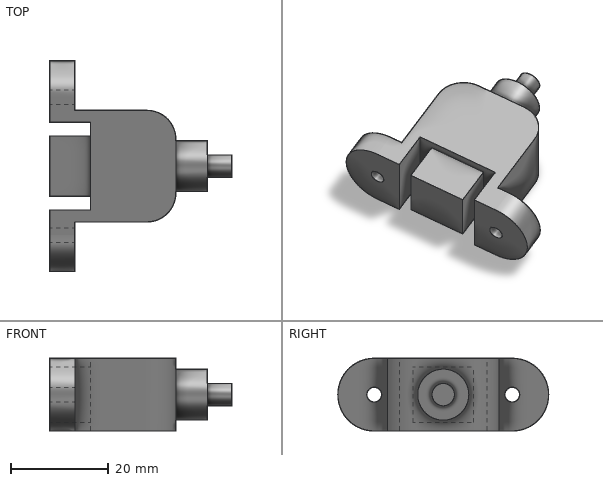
import cadquery as cq

total_length = 37.5
flange_span = 43.4
height = 15.0

flange_thickness = 5.2
screw_hole_diameter = 3.0
screw_spacing = flange_span - height

housing_width = 23.0
housing_end = 26.0
corner_radius = 6.0

slot_width = 17.95
slot_depth = 8.38
plug_width = 12.4
plug_height = 11.45

relief_diameter = 10.5
relief_end = 32.45
cable_diameter = 4.6


def block(start, end, width, block_height):
    """Box from start to end along X, centred on the X axis."""
    return (
        cq.Workplane("XY")
        .box(end - start, width, block_height, centered=(False, True, True))
        .translate((start, 0, 0))
    )


def rod(start, end, diameter):
    """Cylinder along the X axis."""
    return cq.Workplane("YZ", origin=(start, 0, 0)).circle(diameter / 2).extrude(end - start)


def make_flange():
    return (
        cq.Workplane("YZ")
        .slot2D(flange_span, height)
        .extrude(flange_thickness)
    )


def make_screw_holes():
    return (
        cq.Workplane("YZ")
        .pushPoints([(-screw_spacing / 2, 0), (screw_spacing / 2, 0)])
        .circle(screw_hole_diameter / 2)
        .extrude(flange_thickness)
    )


def make_housing():
    housing = block(0, housing_end, housing_width, height)
    return housing.edges("|Z and >X").fillet(corner_radius)


slot = block(0, slot_depth, slot_width, height)
plug = block(0, slot_depth, plug_width, plug_height)
strain_relief = rod(housing_end, relief_end, relief_diameter)
cable = rod(relief_end, total_length, cable_diameter)

result = (
    make_flange()
    .union(make_housing())
    .cut(make_screw_holes())
    .cut(slot)
    .union(plug)
    .union(strain_relief)
    .union(cable)
)